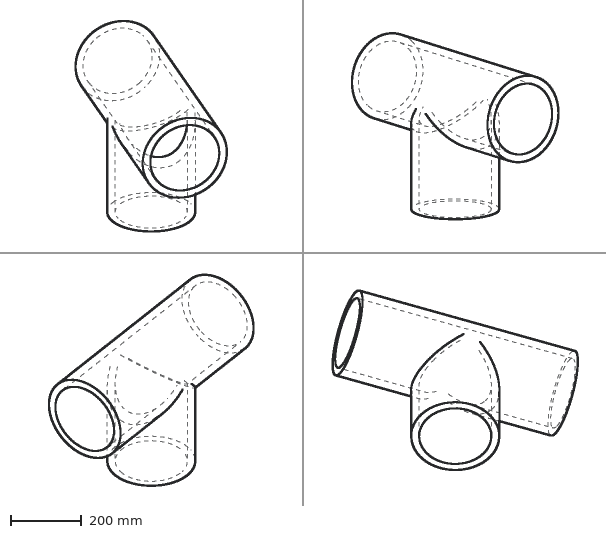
import cadquery as cq

run_length = 650.0
outer_diameter = 250.0
bore_diameter = 205.0
branch_reach = run_length / 2


def tee_solid(diameter):
    """Run and branch cylinders of one diameter, with axes meeting at the origin."""
    run = cq.Workplane("YZ").circle(diameter / 2).extrude(run_length / 2, both=True)
    branch = cq.Workplane("XY").circle(diameter / 2).extrude(-branch_reach)
    return run.union(branch)


result = tee_solid(outer_diameter).cut(tee_solid(bore_diameter))